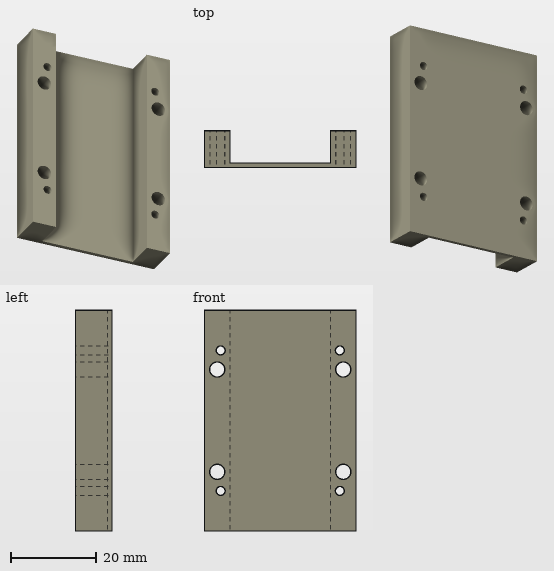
import cadquery as cq

width = 35.564
depth = 8.66
height = 51.81

rail_width = 6.0
plate_thickness = 1.1

large_hole_diameter = 3.5
large_hole_spacing_x = width - rail_width
large_hole_spacing_z = 24.0
small_hole_diameter = 2.05
small_hole_spacing_x = 27.95
small_hole_spacing_z = 32.95


def channel():
    """Plate on the -Y side with a full-height rail along each X edge."""
    block = cq.Workplane("XY").box(width, depth, height)
    recess_depth = depth - plate_thickness
    recess = (
        cq.Workplane("XY")
        .box(width - 2 * rail_width, recess_depth, height)
        .translate((0, plate_thickness / 2, 0))
    )
    return block.cut(recess)


def hole_pattern(spacing_x, spacing_z, diameter):
    """Four cylinders along Y that pass through the full depth."""
    return (
        cq.Workplane("XZ")
        .rect(spacing_x, spacing_z, forConstruction=True)
        .vertices()
        .circle(diameter / 2)
        .extrude(depth, both=True)
    )


large_holes = hole_pattern(large_hole_spacing_x, large_hole_spacing_z, large_hole_diameter)
small_holes = hole_pattern(small_hole_spacing_x, small_hole_spacing_z, small_hole_diameter)

result = channel().cut(large_holes).cut(small_holes)